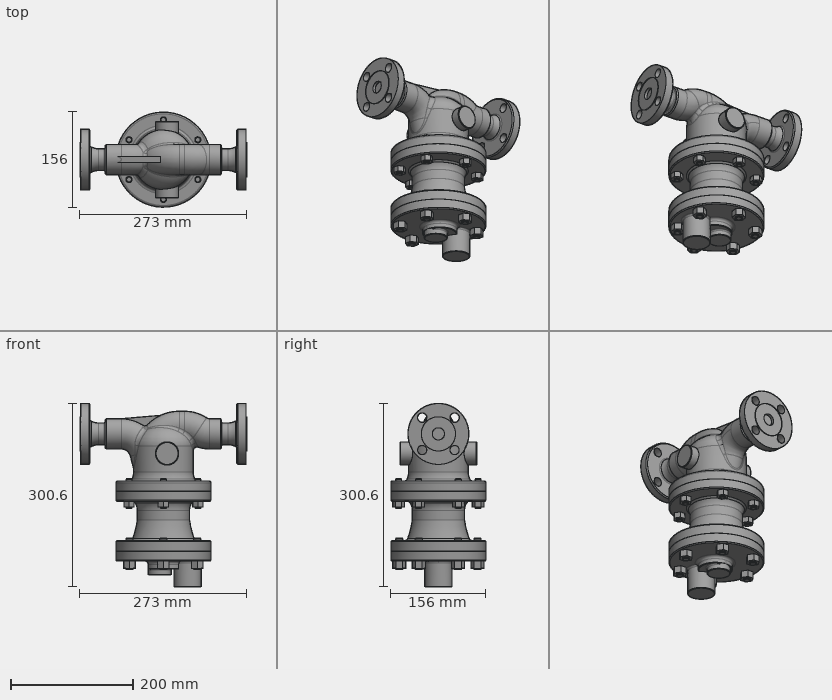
import cadquery as cq
import math


face_to_face = 273.0
pipe_flange_d = 100.0
pipe_flange_t = 15.5
pipe_flange_chamfer = 2.0
raised_face_d = 56.0
raised_face_t = 1.0
bore_d = 20.0
bore_depth = 5.0
pipe_bolt_circle = 75.0
pipe_bolt_hole_d = 15.0
pipe_bolt_count = 4
neck_d = 36.0
neck_root_d = 42.0
neck_taper_end = 106.0
pipe_d = 50.0
pipe_end = 95.2
pipe_end_chamfer = 2.0
neck_round = 1.7
pipe_start = pipe_end - pipe_end_chamfer

inlet_bend_start = -68.7
inlet_bend_radius = 40.0
inlet_bend_angle = 76.0
inlet_drop = 28.0

outlet_bend_start = 75.6
outlet_bend_radius = 34.0
crest_bend_radius = 40.0
outlet_bend_angle = 33.4
crest_length = 8.7
dive_bend_radius = 50.0
dive_angle = 60.0
inlet_blend = 10.0
outlet_blend = 6.0
seam_tolerance = 0.001

rib_t = 10.0
rib_start_x = -74.7
rib_end_x = -5.0
rib_slope = 0.085
rib_root_z = 5.0

body_d = 98.0
dome_base_z = -20.0
dome_height = 36.0
body_foot_z = -62.2
body_foot_d = 103.0
upper_flange_top_z = -77.1
upper_joint_z = -94.0
upper_flange_bottom_z = -110.4
waist_d = 85.96
waist_collar_d = 92.1
waist_top_z = -125.0
waist_bottom_z = -141.0
waist_foot_d = 101.0
waist_flare_bow = 0.9
lower_flange_top_z = -174.6
lower_joint_z = -192.0
lower_flange_bottom_z = -208.4
flange_d = 156.0
upper_flange_round = 3.0
flange_chamfer = 1.8
root_round = 3.0
root_ring_d = 112.2
joint_gap = 0.2
gasket_d = 142.0

bolt_count = 6
first_bolt_angle = 30.0
upper_bolt_d = 10.0
upper_bolt_radius = 65.0
upper_nut_flats = 17.0
upper_nut_h = 9.5
lower_bolt_d = 12.0
lower_bolt_radius = 64.0
lower_nut_flats = 19.0
lower_nut_h = 11.5
bolt_above = 3.8
bolt_below_nut = 2.2
bolt_tip_chamfer = 1.0

boss_offset = 6.0
boss_d = 38.0
boss_chamfer = 1.0
side_boss_z = -32.1
side_boss_reach = 62.8
pad_d = 56.0
pad_x = pad_d / 2 - boss_d / 2 - boss_offset
pad_h = 12.5
pad_root_round = 5.0
bottom_boss_h = 22.5
bottom_boss_root_round = 2.0
drain_d = 45.0
drain_x = 39.5
drain_bottom_z = -250.6
drain_root_round = 2.7


def cylinder(diameter, x, y, bottom_z, top_z):
    """Upright cylinder between two levels."""
    height = top_z - bottom_z
    return cq.Workplane("XY", origin=(x, y, bottom_z)).circle(diameter / 2).extrude(height)


def on_arc(center, radius, angle):
    """Point of a circle at an angle in degrees."""
    a = math.radians(angle)
    return (center[0] + radius * math.cos(a), center[1] + radius * math.sin(a))


def flare_middle(start, end):
    """Middle of an arc that leaves start along the vessel axis and ends at end."""
    run = abs(end[1] - start[1])
    rise = end[0] - start[0]
    radius = (run**2 + rise**2) / (2 * rise)
    half = math.asin(run / radius) / 2
    step = math.copysign(radius * math.sin(half), end[1] - start[1])
    return (start[0] + radius * (1 - math.cos(half)), start[1] + step)


def make_vessel():
    """Domed body, waist and both flange pairs, turned about the vessel axis."""
    flange_r = flange_d / 2
    dome_top = (0, dome_base_z + dome_height)
    body_foot = (body_d / 2, body_foot_z)
    body_foot_end = (body_foot_d / 2, upper_flange_top_z + root_round)
    waist_top = (waist_d / 2, waist_top_z)
    collar = (waist_collar_d / 2, upper_flange_bottom_z - root_round)
    waist_bottom = (waist_d / 2, waist_bottom_z)
    waist_foot_end = (waist_foot_d / 2, lower_flange_top_z + root_round)
    waist_flare = (
        (waist_bottom[0] + waist_foot_end[0]) / 2 - waist_flare_bow,
        (waist_bottom[1] + waist_foot_end[1]) / 2,
    )
    profile = (
        cq.Workplane("XZ")
        .moveTo(*dome_top)
        .lineTo(0, lower_flange_bottom_z)
        .lineTo(flange_r - flange_chamfer, lower_flange_bottom_z)
        .lineTo(flange_r, lower_flange_bottom_z + flange_chamfer)
        .lineTo(flange_r, lower_flange_top_z - flange_chamfer)
        .lineTo(flange_r - flange_chamfer, lower_flange_top_z)
        .lineTo(root_ring_d / 2, lower_flange_top_z)
        .tangentArcPoint(waist_foot_end, relative=False)
        .threePointArc(waist_flare, waist_bottom)
        .lineTo(*waist_top)
        .threePointArc(flare_middle(waist_top, collar), collar)
        .lineTo(collar[0] + root_round, upper_flange_bottom_z)
        .lineTo(flange_r - flange_chamfer, upper_flange_bottom_z)
        .lineTo(flange_r, upper_flange_bottom_z + flange_chamfer)
        .lineTo(flange_r, upper_flange_top_z - upper_flange_round)
        .radiusArc((flange_r - upper_flange_round, upper_flange_top_z), -upper_flange_round)
        .lineTo(root_ring_d / 2, upper_flange_top_z)
        .tangentArcPoint(body_foot_end, relative=False)
        .threePointArc(flare_middle(body_foot, body_foot_end), body_foot)
        .lineTo(body_d / 2, dome_base_z)
        .ellipseArc(body_d / 2, dome_height, 0, 90, startAtCurrent=True)
        .close()
    )
    return profile.revolve(360, (0, 0, 0), (0, 1, 0))


def make_inlet():
    """Straight pipe that bends steeply down into the vessel wall."""
    center = (inlet_bend_start, -inlet_bend_radius)
    bend_middle = on_arc(center, inlet_bend_radius, 90 - inlet_bend_angle / 2)
    bend_end = on_arc(center, inlet_bend_radius, 90 - inlet_bend_angle)
    path = (
        cq.Workplane("XZ")
        .moveTo(-pipe_start, 0)
        .lineTo(inlet_bend_start, 0)
        .threePointArc(bend_middle, bend_end)
        .lineTo(*on_arc(bend_end, inlet_drop, -inlet_bend_angle))
    )
    return cq.Workplane("YZ", origin=(-pipe_start, 0, 0)).circle(pipe_d / 2).sweep(path)


def make_outlet():
    """Straight pipe that swings up, levels off over the dome and dives into it."""
    turn = outlet_bend_angle
    rise_center = (outlet_bend_start, outlet_bend_radius)
    rise_end = on_arc(rise_center, outlet_bend_radius, 270 - turn)
    crest_center = on_arc(rise_end, crest_bend_radius, -90 - turn)
    crest_start = on_arc(crest_center, crest_bend_radius, 90)
    crest_end = (crest_start[0] - crest_length, crest_start[1])
    dive_center = (crest_end[0], crest_end[1] - dive_bend_radius)
    path = (
        cq.Workplane("XZ")
        .moveTo(pipe_start, 0)
        .lineTo(outlet_bend_start, 0)
        .threePointArc(on_arc(rise_center, outlet_bend_radius, 270 - turn / 2), rise_end)
        .threePointArc(on_arc(crest_center, crest_bend_radius, 90 - turn / 2), crest_start)
        .lineTo(*crest_end)
        .threePointArc(
            on_arc(dive_center, dive_bend_radius, 90 + dive_angle / 2),
            on_arc(dive_center, dive_bend_radius, 90 + dive_angle),
        )
    )
    return cq.Workplane("YZ", origin=(pipe_start, 0, 0)).circle(pipe_d / 2).sweep(path)


def make_joint_gap(level):
    """Thin ring of clearance between two mating flanges, outside their gasket."""
    return (
        cq.Workplane("XY", origin=(0, 0, level - joint_gap / 2))
        .circle(flange_d / 2)
        .circle(gasket_d / 2)
        .extrude(joint_gap)
    )


def blend_pipe(body, pipe, blend_radius):
    """Join a pipe to the body and round the seams lying on the pipe's skin."""
    joined = body.union(pipe, clean=False)
    skin = pipe.shells().val()
    seams = []
    for edge in joined.edges().vals():
        middle = cq.Vertex.makeVertex(*edge.positionAt(0.5).toTuple())
        if edge.geomType() == "BSPLINE" and skin.distance(middle) < seam_tolerance:
            seams.append(edge)
    return joined.newObject(seams).fillet(blend_radius)


def make_rib():
    """Web standing on both pipes, its top rising toward the crossover."""
    start_z = math.sqrt((pipe_d / 2) ** 2 - (rib_t / 2) ** 2)
    end_z = start_z + rib_slope * (rib_end_x - rib_start_x)
    outline = [
        (rib_start_x, start_z),
        (rib_end_x, end_z),
        (rib_end_x, rib_root_z),
        (rib_start_x, rib_root_z),
    ]
    return cq.Workplane("XZ").polyline(outline).close().extrude(rib_t / 2, both=True)


def make_pipe_flange():
    """Flange, hub and neck on the -X side, turned about the pipe axis."""
    face_x = -face_to_face / 2
    front_x = face_x + raised_face_t
    back_x = front_x + pipe_flange_t
    edge_r = pipe_flange_d / 2
    hub_end = (-neck_taper_end, neck_d / 2)
    hub_start = (back_x + pipe_flange_chamfer, neck_root_d / 2)
    run = hub_end[0] - hub_start[0]
    rise = hub_start[1] - hub_end[1]
    hub_radius = (run**2 + rise**2) / (2 * rise)
    neck_inner_x = -pipe_start
    profile = (
        cq.Workplane("XZ")
        .moveTo(face_x, 0)
        .lineTo(face_x, raised_face_d / 2)
        .lineTo(front_x, raised_face_d / 2)
        .lineTo(front_x, edge_r)
        .lineTo(back_x - pipe_flange_chamfer, edge_r)
        .lineTo(back_x, edge_r - pipe_flange_chamfer)
        .lineTo(back_x, hub_start[1] + pipe_flange_chamfer)
        .radiusArc(hub_start, -pipe_flange_chamfer)
        .radiusArc(hub_end, -hub_radius)
        .lineTo(-pipe_end - neck_round, neck_d / 2)
        .radiusArc((-pipe_end, neck_d / 2 + neck_round), -neck_round)
        .lineTo(-pipe_end, pipe_d / 2 - pipe_end_chamfer)
        .lineTo(neck_inner_x, pipe_d / 2)
        .lineTo(neck_inner_x, 0)
        .close()
    )
    flange = profile.revolve(360, (0, 0, 0), (1, 0, 0))
    face = cq.Workplane("YZ", origin=(face_x, 0, 0))
    bore = face.circle(bore_d / 2).extrude(bore_depth)
    bolt_holes = (
        face.polarArray(pipe_bolt_circle / 2, 180 / pipe_bolt_count, 360, pipe_bolt_count)
        .circle(pipe_bolt_hole_d / 2)
        .extrude(raised_face_t + pipe_flange_t)
    )
    return flange.cut(bore).cut(bolt_holes)


def make_bolt(x, y, diameter, nut_flats, nut_height, top_z, bottom_z):
    """Bolt through a flange pair, nut below; two nut corners point along Y."""
    tip_z = bottom_z - nut_height - bolt_below_nut
    bolt = cylinder(diameter, x, y, tip_z, top_z + bolt_above)
    bolt = bolt.faces("<Z or >Z").chamfer(bolt_tip_chamfer)
    nut_corners = nut_flats / math.cos(math.pi / 6)
    nut = (
        cq.Workplane("XY", origin=(x, y, bottom_z - nut_height))
        .transformed(rotate=(0, 0, 90))
        .polygon(6, nut_corners)
        .extrude(nut_height)
    )
    return bolt.union(nut, clean=False)


def bolt_ring(radius, *bolt_sizes):
    """Evenly spaced bolts on a bolt circle."""
    bolts = []
    for index in range(bolt_count):
        angle = first_bolt_angle + index * 360 / bolt_count
        x, y = on_arc((0, 0), radius, angle)
        bolts.append(make_bolt(x, y, *bolt_sizes))
    return bolts


def make_side_bosses():
    """Bar with bevelled ends across the body, forming the two side bosses."""
    bar = (
        cq.Workplane("XZ", origin=(boss_offset, 0, side_boss_z))
        .circle(boss_d / 2)
        .extrude(side_boss_reach, both=True)
    )
    return bar.faces("<Y or >Y").chamfer(boss_chamfer)


def flared_root(diameter, x, level, root_radius):
    """Concave ring that blends an upright cylinder into the face above it."""
    inner = diameter / 2
    return (
        cq.Workplane("XZ", origin=(x, 0, level))
        .lineTo(inner + root_radius, 0)
        .radiusArc((inner, -root_radius), -root_radius)
        .lineTo(0, -root_radius)
        .close()
        .revolve(360, (0, 0, 0), (0, 1, 0))
    )


def make_bottom_connections():
    """Round pad, plugged boss and drain socket under the lower flange."""
    level = lower_flange_bottom_z
    pad = cylinder(pad_d, pad_x, 0, level - pad_h, level)
    boss = cylinder(boss_d, -boss_offset, 0, level - bottom_boss_h, level)
    drain = cylinder(drain_d, drain_x, 0, drain_bottom_z, level)
    pad_bottom = level - pad_h
    boss_root = flared_root(boss_d, -boss_offset, pad_bottom, bottom_boss_root_round)
    pad_limit = cylinder(pad_d - 2 * boss_chamfer, pad_x, 0, level - bottom_boss_h, level)
    return [
        pad.faces("<Z").chamfer(boss_chamfer),
        flared_root(pad_d, pad_x, level, pad_root_round),
        boss.faces("<Z").chamfer(boss_chamfer),
        boss_root.intersect(pad_limit),
        drain.faces("<Z").chamfer(boss_chamfer),
        flared_root(drain_d, drain_x, level, drain_root_round),
    ]


upper_sizes = (upper_bolt_d, upper_nut_flats, upper_nut_h, upper_flange_top_z, upper_flange_bottom_z)
lower_sizes = (lower_bolt_d, lower_nut_flats, lower_nut_h, lower_flange_top_z, lower_flange_bottom_z)
left_flange = make_pipe_flange()

additions = [make_rib(), left_flange, left_flange.mirror("YZ"), make_side_bosses()]
additions += make_bottom_connections()
additions += bolt_ring(upper_bolt_radius, *upper_sizes)
additions += bolt_ring(lower_bolt_radius, *lower_sizes)

result = blend_pipe(make_vessel(), make_inlet(), inlet_blend)
result = blend_pipe(result, make_outlet(), outlet_blend)
for addition in additions:
    result = result.union(addition, clean=False)
for joint_z in (upper_joint_z, lower_joint_z):
    result = result.cut(make_joint_gap(joint_z), clean=False)